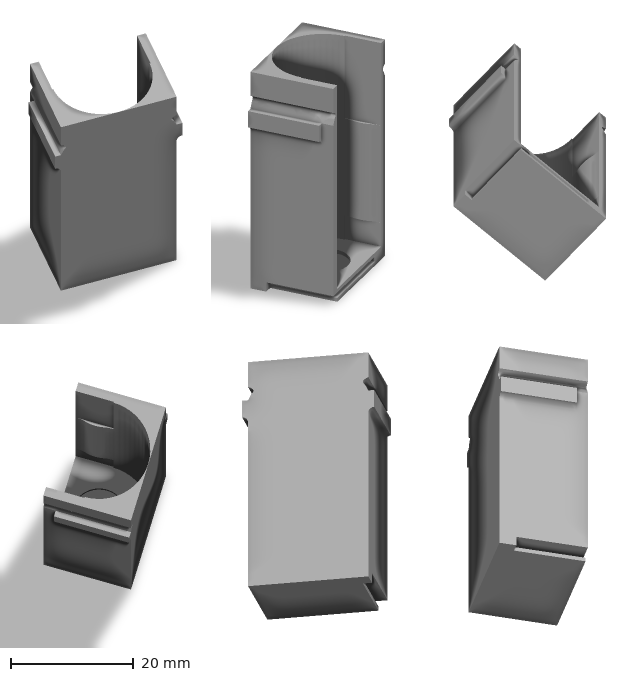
import cadquery as cq
import math

HEIGHT = 39.43
DEPTH = 14.9
LIP_REACH = 1.0
WIDTH = 22.05 - 2 * LIP_REACH
HALF_WIDTH = WIDTH / 2

FLOOR_TOP = 2.35
BORE_X = 6.5
BORE_RADIUS = 8.35
CHANNEL_STEP = 0.15
CHANNEL_HALF_WIDTH = BORE_RADIUS + CHANNEL_STEP

BUMP_BOTTOM = 6.75
BUMP_TOP = 24.4
BUMP_HEIGHT = 0.47
BUMP_START_RISE = 0.3
BUMP_START_FLANK = 2.05
BUMP_END_FLANK = 1.9
START_FLANK_MID_RISE = 0.08

LIP_START_X = 2.1
LIP_TOP = 32.73
LIP_BOTTOM = 29.75
GROOVE_TOP = 35.05
GROOVE_ROOT_Z = 34.3
GROOVE_DEPTH = 0.9
UPPER_FLANK_POINT = (0.65, 34.75)
LOWER_FLANK_POINT = (0.65, 33.87)

POCKET_BOTTOM = 0.7
POCKET_TOP = 1.7
POCKET_WIDTH = 12.3
POCKET_DEPTH = BORE_X + POCKET_WIDTH / 2
POCKET_CORNER_RADIUS = 1.2
WINDOW_RADIUS = 4.5
PASSAGE_DEPTH = POCKET_DEPTH - POCKET_CORNER_RADIUS / 2


def box(x_range, y_range, z_range):
    """Axis-aligned box between the given limits."""
    size = [end - start for start, end in (x_range, y_range, z_range)]
    corner = (x_range[0], y_range[0], z_range[0])
    return cq.Workplane("XY").box(*size, centered=False).translate(corner)


def bore():
    """Round cavity from the floor to the top."""
    return (
        cq.Workplane("XY", origin=(BORE_X, 0, FLOOR_TOP)).circle(BORE_RADIUS).extrude(HEIGHT - FLOOR_TOP)
    )


def channel():
    """Straight cavity from the opening to the middle of the bore."""
    return box((0, BORE_X), (-CHANNEL_HALF_WIDTH, CHANNEL_HALF_WIDTH), (FLOOR_TOP, HEIGHT))


def bump():
    """Pad on the -Y channel wall; the bore trims its inner end."""
    wall = -CHANNEL_HALF_WIDTH
    flank_end = (BUMP_START_FLANK, wall + BUMP_START_RISE)
    crest_end_x = BORE_X - BUMP_END_FLANK
    crest_end_y = -math.sqrt(BORE_RADIUS**2 - BUMP_END_FLANK**2)
    return (
        cq.Workplane("XY", origin=(0, 0, BUMP_BOTTOM))
        .moveTo(0, wall)
        .threePointArc((BUMP_START_FLANK / 2, wall + START_FLANK_MID_RISE), flank_end)
        .threePointArc((BORE_X / 2, wall + BUMP_HEIGHT), (crest_end_x, crest_end_y))
        .lineTo(BORE_X, crest_end_y)
        .lineTo(BORE_X, -HALF_WIDTH)
        .lineTo(0, -HALF_WIDTH)
        .close()
        .extrude(BUMP_TOP - BUMP_BOTTOM)
    )


def lip():
    """Lip on the -Y side, with a concave quarter round under it."""
    outer = -HALF_WIDTH - LIP_REACH
    block = box((LIP_START_X, DEPTH), (outer, -HALF_WIDTH), (LIP_BOTTOM - LIP_REACH, LIP_TOP))
    hollow = (
        cq.Workplane("YZ", origin=(LIP_START_X, 0, 0))
        .center(outer, LIP_BOTTOM - LIP_REACH)
        .circle(LIP_REACH)
        .extrude(DEPTH - LIP_START_X)
    )
    return block.cut(hollow)


def groove():
    """Smooth V groove with a rounded root on the -Y side, running the full depth."""
    upper_slope = (UPPER_FLANK_POINT[0], UPPER_FLANK_POINT[1] - GROOVE_TOP)
    lower_slope = (-LOWER_FLANK_POINT[0], LIP_TOP - LOWER_FLANK_POINT[1])
    profile = [
        (0, GROOVE_TOP),
        UPPER_FLANK_POINT,
        (GROOVE_DEPTH, GROOVE_ROOT_Z),
        LOWER_FLANK_POINT,
        (0, LIP_TOP),
    ]
    return (
        cq.Workplane("YZ", origin=(0, -HALF_WIDTH, 0))
        .spline(profile, tangents=[upper_slope, lower_slope])
        .close()
        .extrude(DEPTH)
    )


def pocket():
    """Pocket under the floor, the window into it and the passage out to +Y."""
    half = POCKET_WIDTH / 2
    chamber = box((0, POCKET_DEPTH), (-half, half), (POCKET_BOTTOM, POCKET_TOP))
    chamber = chamber.edges("|Z and >X").fillet(POCKET_CORNER_RADIUS)
    window = (
        cq.Workplane("XY", origin=(BORE_X, 0, POCKET_BOTTOM))
        .circle(WINDOW_RADIUS)
        .extrude(FLOOR_TOP - POCKET_BOTTOM)
    )
    passage = box((0, PASSAGE_DEPTH), (0, HALF_WIDTH), (POCKET_BOTTOM, POCKET_TOP))
    corner_notch = box((0, PASSAGE_DEPTH), (CHANNEL_HALF_WIDTH, HALF_WIDTH), (0, POCKET_TOP))
    return chamber.union(window).union(passage).union(corner_notch)


def both_sides(feature):
    """The feature together with its mirror image on the +Y side."""
    return feature.union(feature.mirror("XZ"))


body = box((0, DEPTH), (-HALF_WIDTH, HALF_WIDTH), (0, HEIGHT)).cut(channel())
body = body.union(both_sides(bump())).cut(bore()).union(both_sides(lip()))
result = body.cut(both_sides(groove())).cut(pocket())